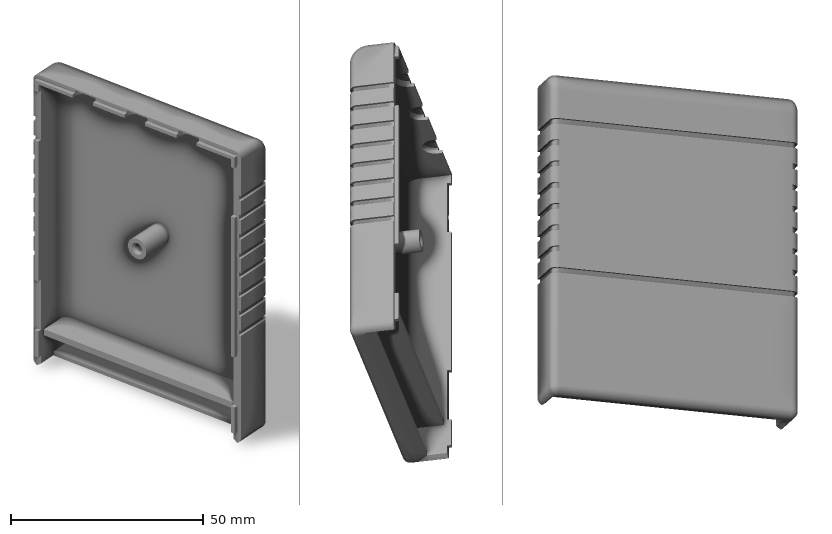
import cadquery as cq


width = 68.0
height = 88.0
total_depth = 13.0
lip_height = 1.1
shell_depth = total_depth - lip_height
half_width = width / 2
edge_radius = 2.0
top_back_radius = 5.0

side_wall = 2.5
end_wall = 2.2
floor_thickness = 2.2
cavity_radius = 2.7
cavity_depth = shell_depth - floor_thickness
cavity_half_width = half_width - side_wall

bottom_setback = 5.4
bottom_taper = 1.1
taper_length = 2.8
flare_width = 1.4

lip_inset = 1.2
lip_outer_half_width = half_width - lip_inset
lip_top = height - lip_inset
corner_lip_bottom = 83.4
middle_lip_bottom = 26.3
middle_lip_top = 68.55
lower_lip_bottom = 3.3
lower_lip_top = 11.3

recess_radius = 3.3
recess_pitch = 17.0
recess_skin = 0.4
recess_count = 3

root_depth = floor_thickness / 2

rib_half_width = 31.1
rib_thickness = 1.85
rib_setback = 0.8

boss_diameter = 6.0
boss_z = 47.0
boss_hole_mouth = 3.4
boss_hole_diameter = 2.3
boss_hole_end = 1.5
boss_chamfer = (boss_hole_mouth - boss_hole_diameter) / 2

groove_count = 8
groove_pitch = 5.8
groove_width = 1.5
groove_depth = 0.7
first_groove_z = 33.6


def block(x_range, y_range, z_range):
    """Box given by its limits along each axis."""
    sizes = [high - low for low, high in (x_range, y_range, z_range)]
    corner = (x_range[0], y_range[0], z_range[0])
    return cq.Workplane("XY").box(*sizes, centered=False).translate(corner)


def outer_shell():
    """Solid envelope: large radius at the top back edge, small radius on the other edges."""
    body = block((-half_width, half_width), (0, shell_depth), (0, height))
    body = body.edges(">Y and >Z").fillet(top_back_radius)
    body = body.edges(">Y and <Z").fillet(edge_radius)
    return body.faces("<X or >X").edges("not <Y").fillet(edge_radius)


def cavity():
    """Pocket open at the rim, rounded where its walls meet the floor."""
    pocket = block(
        (-cavity_half_width, cavity_half_width),
        (0, cavity_depth),
        (end_wall, height - end_wall),
    )
    return pocket.faces(">Y").edges().fillet(cavity_radius)


def bottom_opening():
    """Clearance that shortens the bottom wall, tapers its outside and flares at the side walls."""
    shortened_wall = (
        cq.Workplane("YZ")
        .polyline(
            [
                (0, 0),
                (bottom_setback + taper_length, 0),
                (bottom_setback, bottom_taper),
                (bottom_setback, end_wall),
                (0, end_wall),
            ]
        )
        .close()
        .extrude(half_width, both=True)
    )
    flared_half_width = cavity_half_width + flare_width
    flared_gap = (
        cq.Workplane("XZ")
        .polyline(
            [
                (-flared_half_width, 0),
                (flared_half_width, 0),
                (cavity_half_width, bottom_taper),
                (cavity_half_width, end_wall),
                (-cavity_half_width, end_wall),
                (-cavity_half_width, bottom_taper),
            ]
        )
        .close()
        .extrude(-shell_depth)
    )
    return shortened_wall.intersect(flared_gap)


def locating_lip():
    """Raised lip along the top wall and in separate lengths along both sides."""
    lip_y = (-lip_height, 0)
    lip = block((-lip_outer_half_width, lip_outer_half_width), lip_y, (height - end_wall, lip_top))
    side_lengths = [
        (lower_lip_bottom, lower_lip_top),
        (middle_lip_bottom, middle_lip_top),
        (corner_lip_bottom, lip_top),
    ]
    for z_range in side_lengths:
        right = block((cavity_half_width, lip_outer_half_width), lip_y, z_range)
        lip = lip.union(right).union(right.mirror("YZ"))
    return lip


def top_recesses():
    """Half-round recesses along Z that also interrupt the lip and leave a thin outer skin."""
    first_x = -recess_pitch * (recess_count - 1) / 2
    centers = [(first_x + index * recess_pitch, 0) for index in range(recess_count)]
    return (
        cq.Workplane("XY", origin=(0, 0, height - end_wall))
        .pushPoints(centers)
        .slot2D(4 * recess_radius, 2 * recess_radius, 90)
        .extrude(end_wall - recess_skin)
        .translate((0, -recess_radius, 0))
    )


def cross_rib():
    """Rib spanning the cavity just above the bottom end, level with the lower lip lengths."""
    return block(
        (-rib_half_width, rib_half_width),
        (rib_setback, cavity_depth + root_depth),
        (lower_lip_top - rib_thickness, lower_lip_top),
    )


def boss_bar(diameter, y_start, y_end, end_diameter=None):
    """Round bar along Y on the boss axis, conical when an end diameter is given."""
    start_radius = diameter / 2
    end_radius = (end_diameter or diameter) / 2
    return (
        cq.Workplane("XY")
        .polyline([(0, y_start), (start_radius, y_start), (end_radius, y_end), (0, y_end)])
        .close()
        .revolve(360, (0, 0), (0, 1))
        .translate((0, 0, boss_z))
    )


def grip_groove(z_center, full_width):
    """Groove of constant depth around the sides; a full-width one also crosses the back."""
    z_range = (z_center - groove_width / 2, z_center + groove_width / 2)
    cut_y = (-lip_height, shell_depth + groove_depth)
    core_half_width = half_width - groove_depth
    core = block((-core_half_width, core_half_width), (-lip_height, shell_depth - groove_depth), z_range)
    core = core.edges(">Y and |Z").fillet(edge_radius - groove_depth)
    groove = block((-width, width), cut_y, z_range).cut(core)
    if not full_width:
        flat_half_width = half_width - edge_radius
        groove = groove.cut(block((-flat_half_width, flat_half_width), cut_y, z_range))
    return groove


result = outer_shell().cut(cavity()).cut(bottom_opening())
result = result.union(locating_lip()).cut(top_recesses()).union(cross_rib())
result = result.union(boss_bar(boss_diameter, 0, cavity_depth + root_depth))
result = result.cut(boss_bar(boss_hole_mouth, 0, boss_chamfer, boss_hole_diameter))
result = result.cut(boss_bar(boss_hole_diameter, boss_chamfer, cavity_depth, boss_hole_end))
for index in range(groove_count):
    at_either_end = index in (0, groove_count - 1)
    result = result.cut(grip_groove(first_groove_z + index * groove_pitch, at_either_end))